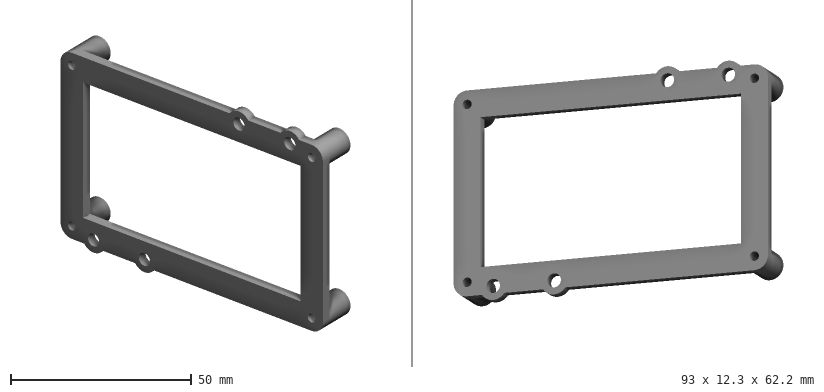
import cadquery as cq

length = 93.0
height = 58.8
thickness = 3.0
border = 8.0
total_depth = 12.3
total_height = 62.2

post_diameter = 8.0
post_hole_diameter = 2.7
corner_radius = post_diameter / 2
post_x = length / 2 - corner_radius
post_z = height / 2 - corner_radius
post_centers = [(x, z) for x in (-post_x, post_x) for z in (-post_z, post_z)]

ear_diameter = 8.0
ear_hole_diameter = 4.0
ear_inner_x = 16.7
ear_outer_x = 34.8
ear_z = (total_height - ear_diameter) / 2
ear_centers = [
    (side * x, side * ear_z) for side in (-1, 1) for x in (ear_inner_x, ear_outer_x)
]


def front_plane():
    """XZ plane on the front face; extruding by a negative length goes toward +Y."""
    return cq.Workplane("XZ", origin=(0, -total_depth / 2, 0))


def cylinders(centers, diameter, depth):
    """Equal cylinders starting at the front face."""
    return front_plane().pushPoints(centers).circle(diameter / 2).extrude(-depth)


plate = front_plane().rect(length, height).extrude(-thickness)
plate = plate.edges("|Y").fillet(corner_radius)

window = front_plane().rect(length - 2 * border, height - 2 * border).extrude(-thickness)

ears = cylinders(ear_centers, ear_diameter, thickness)
posts = cylinders(post_centers, post_diameter, total_depth)

frame = plate.union(ears).union(posts).cut(window)

result = frame.cut(cylinders(ear_centers, ear_hole_diameter, thickness))
result = result.cut(cylinders(post_centers, post_hole_diameter, total_depth))